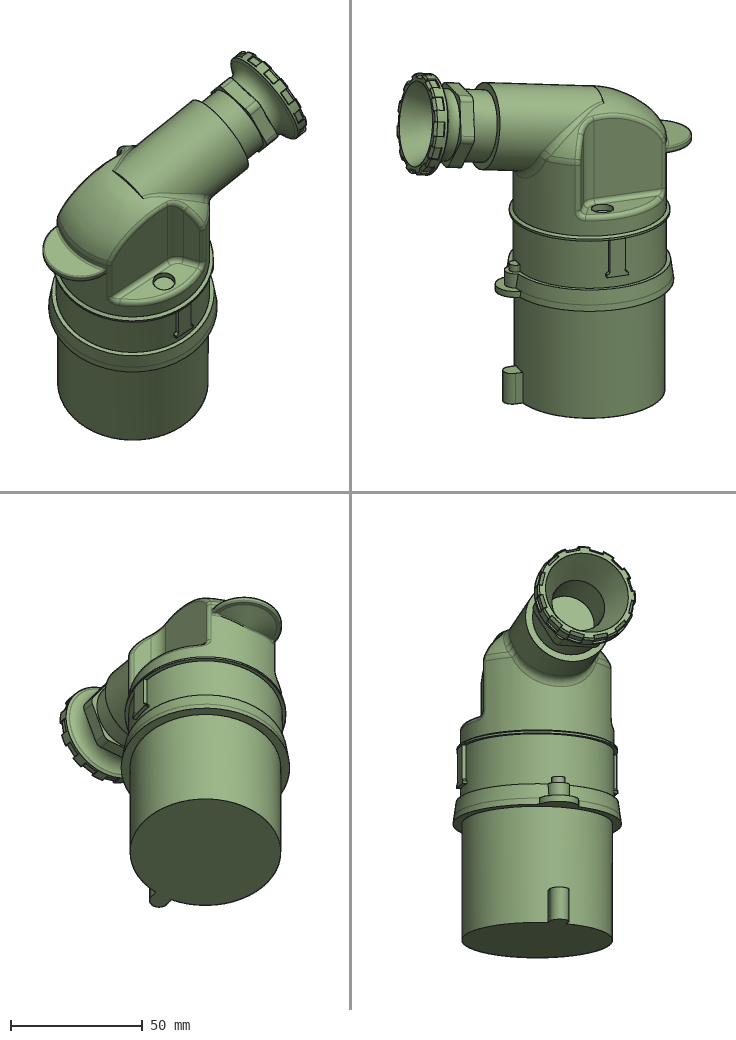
import cadquery as cq
import math

TILT = 10.0
ELBOW_BASE_Z = 106.9
ELBOW_LENGTH = 43.8

LOWER_R = 28.6
BARREL_R = 29.2
FLANGE_BOTTOM_Z = 45.4
FLANGE_EDGE_Z = 47.9
FLANGE_TOP_Z = 53.7
FLANGE_BOTTOM_R = 64.0 / 2
FLANGE_EDGE_R = 31.7
FLANGE_TOP_R = 30.8
RIM_BOTTOM_Z = 73.6
RIM_TOP_Z = 75.1
RIM_R = 30.5
RIM_EDGE_Z = 74.4

DOME_BASE_Z = 103.9
DOME_TOP_Z = 122.5
DOME_SHOULDER_R = 5.3
DOME_SHOULDER_ANGLE = 26.5
DOME_TOP_SLOPE = 0.2
DOME_PROFILE = [(26.7, 109.4), (18.5, 116.6), (11.0, 120.3)]

ELBOW_R = 16.6
ELBOW_FILLET = 3.5

POCKET_FLOOR_Z = 83.3
POCKET_WALL_X = 15.5
POCKET_BACK_Y = 7.6
POCKET_BACK_ANGLE = 30.0
POCKET_CORNER_R = 6.2
POCKET_EDGE_R = 2.0
POCKET_HOLE_R = 4.1
POCKET_HOLE_DEPTH = 2.5
POCKET_HOLE_X = 21.7
POCKET_HOLE_Y = 2.9

TAB_R = 14.2
TAB_Y = -26.1
TAB_BOTTOM_Z = 98.9
TAB_TOP_Z = 101.4
TAB_EDGE_R = 0.5
TAB_CONE_R = 12.5
TAB_CONE_HEIGHT = 3.9
TAB_ROOT_R = 0.8
TAB_CONE_ROOT_R = 0.4

LATCH_WIDTH = 6.2
LATCH_FOOT_WIDTH = 8.6
LATCH_BOTTOM_Z = 58.4
LATCH_FOOT_Z = 59.3
LATCH_NECK_Z = 60.3

FLANGE_KEY_Y = 30.0
KEYS = [
    (7.7, FLANGE_KEY_Y, FLANGE_BOTTOM_Z, FLANGE_EDGE_Z),
    (4.3, FLANGE_KEY_Y, FLANGE_EDGE_Z, FLANGE_TOP_Z),
    (2.5, FLANGE_KEY_Y, FLANGE_TOP_Z, 56.5),
    (3.6, 31.4, 0.0, 12.6),
]
KEY_ROOT_Y = 24.9

NECK_R = 13.8
BORE_R = 10.4
HEX_SIDES = 6
HEX_APOTHEM = 14.5
HEX_CORNER_R = 3.0
HEX_START = 9.8
HEX_END = 15.4
COLLAR_START = 22.0
GLAND_LENGTH = 27.7
COLLAR_R = 19.4
COLLAR_EDGE = 0.7
FLARE_R = 18.3
MOUTH_R = 16.3
NOTCH_COUNT = 12
NOTCH_WIDTH = 5.5
NOTCH_START = 23.8
NOTCH_FLOOR_R = 18.5
NOTCH_LIP = 1.1


def elbow_plane(distance):
    """Plane across the elbow axis; local x is X, local y points along -Z."""
    tilt = math.radians(TILT)
    along = (0, math.cos(tilt), math.sin(tilt))
    origin = (0, distance * along[1], ELBOW_BASE_Z + distance * along[2])
    return cq.Plane(origin=origin, xDir=(1, 0, 0), normal=along)


def barrel():
    """Lower sleeve, flange, rim and domed head turned as one profile."""
    turn = math.radians(DOME_SHOULDER_ANGLE)
    shoulder_radius = BARREL_R - DOME_SHOULDER_R * (1 - math.cos(turn))
    shoulder_z = DOME_BASE_Z + DOME_SHOULDER_R * math.sin(turn)
    shoulder_direction = (-math.sin(turn), math.cos(turn))
    return (
        cq.Workplane("XZ")
        .moveTo(0, 0)
        .lineTo(LOWER_R, 0)
        .lineTo(LOWER_R, FLANGE_BOTTOM_Z)
        .lineTo(FLANGE_BOTTOM_R, FLANGE_BOTTOM_Z)
        .lineTo(FLANGE_EDGE_R, FLANGE_EDGE_Z)
        .lineTo(FLANGE_TOP_R, FLANGE_TOP_Z)
        .lineTo(BARREL_R, FLANGE_TOP_Z)
        .lineTo(BARREL_R, RIM_BOTTOM_Z)
        .lineTo(RIM_R, RIM_BOTTOM_Z)
        .lineTo(RIM_R, RIM_EDGE_Z)
        .lineTo(BARREL_R, RIM_TOP_Z)
        .lineTo(BARREL_R, DOME_BASE_Z)
        .tangentArcPoint((shoulder_radius, shoulder_z), relative=False)
        .spline(
            DOME_PROFILE + [(0, DOME_TOP_Z)],
            tangents=[shoulder_direction, (-1, DOME_TOP_SLOPE)],
            includeCurrent=True,
        )
        .close()
        .revolve(360, (0, 0, 0), (0, 1, 0))
    )


def elbow_tube():
    return cq.Workplane(elbow_plane(0)).circle(ELBOW_R).extrude(ELBOW_LENGTH)


def fillet_elbow_joint(body):
    """Blend the seam where the elbow leaves the barrel, all but its tip on top of the dome."""
    seam = cq.selectors.BoxSelector((-ELBOW_R, 0, ELBOW_BASE_Z - ELBOW_R), (ELBOW_R, BARREL_R, DOME_TOP_Z))
    return body.edges(seam).fillet(ELBOW_FILLET)


def pocket_cutter(side):
    reach = 2 * BARREL_R
    back_rise = (reach - POCKET_WALL_X) * math.tan(math.radians(POCKET_BACK_ANGLE))
    cutter = (
        cq.Workplane("XY", origin=(0, 0, POCKET_FLOOR_Z))
        .moveTo(side * POCKET_WALL_X, -reach)
        .lineTo(side * POCKET_WALL_X, POCKET_BACK_Y)
        .lineTo(side * reach, POCKET_BACK_Y + back_rise)
        .lineTo(side * reach, -reach)
        .close()
        .extrude(DOME_TOP_Z - POCKET_FLOOR_Z)
    )
    corner = cq.selectors.NearestToPointSelector(
        (side * POCKET_WALL_X, POCKET_BACK_Y, (POCKET_FLOOR_Z + DOME_TOP_Z) / 2)
    )
    return cutter.edges(corner).fillet(POCKET_CORNER_R).faces("<Z").edges().fillet(POCKET_EDGE_R)


def round_pocket_mouth(body, side):
    """Round the mouth; its edges run smoothly into each other, so the upright front one leads to all."""
    front_y = -math.sqrt(BARREL_R**2 - POCKET_WALL_X**2)
    front_edge = cq.selectors.NearestToPointSelector(
        (side * POCKET_WALL_X, front_y, (POCKET_FLOOR_Z + DOME_BASE_Z) / 2)
    )
    return body.edges(front_edge).fillet(POCKET_EDGE_R)


def pocket_hole(side):
    return (
        cq.Workplane("XY", origin=(side * POCKET_HOLE_X, -side * POCKET_HOLE_Y, POCKET_FLOOR_Z))
        .circle(POCKET_HOLE_R)
        .extrude(-POCKET_HOLE_DEPTH)
    )


def thumb_tab():
    disc = (
        cq.Workplane("XY", origin=(0, TAB_Y, TAB_BOTTOM_Z))
        .circle(TAB_R)
        .extrude(TAB_TOP_Z - TAB_BOTTOM_Z)
        .edges()
        .fillet(TAB_EDGE_R)
    )
    cone = cq.Solid.makeCone(
        TAB_CONE_R, 0, TAB_CONE_HEIGHT, pnt=cq.Vector(0, TAB_Y, TAB_BOTTOM_Z), dir=cq.Vector(0, 0, -1)
    )
    return disc.union(cq.Workplane(cone))


def fillet_tab_root(body):
    """Blend the top of the tab and its cone into the barrel."""
    top = cq.selectors.NearestToPointSelector((0, -BARREL_R, TAB_TOP_Z))
    under = cq.selectors.NearestToPointSelector((0, -BARREL_R, TAB_BOTTOM_Z - TAB_CONE_HEIGHT))
    return body.edges(top).fillet(TAB_ROOT_R).edges(under).fillet(TAB_CONE_ROOT_R)


def latches():
    half = LATCH_WIDTH / 2
    foot = LATCH_FOOT_WIDTH / 2
    outline = [
        (-half, RIM_BOTTOM_Z),
        (-half, LATCH_NECK_Z),
        (-foot, LATCH_FOOT_Z),
        (-foot, LATCH_BOTTOM_Z),
        (foot, LATCH_BOTTOM_Z),
        (foot, LATCH_FOOT_Z),
        (half, LATCH_NECK_Z),
        (half, RIM_BOTTOM_Z),
    ]
    return cq.Workplane("YZ").polyline(outline).close().extrude(RIM_R, both=True)


def rounded_key(radius, center_y, bottom, top):
    return (
        cq.Workplane("XY", origin=(0, 0, bottom))
        .moveTo(-radius, KEY_ROOT_Y)
        .lineTo(-radius, center_y)
        .threePointArc((0, center_y + radius), (radius, center_y))
        .lineTo(radius, KEY_ROOT_Y)
        .close()
        .extrude(top - bottom)
    )


def make_housing():
    body = fillet_elbow_joint(barrel().union(elbow_tube()))
    for side in (-1, 1):
        body = round_pocket_mouth(body.cut(pocket_cutter(side)), side).cut(pocket_hole(side))
    body = fillet_tab_root(body.union(thumb_tab()).union(latches()))
    for key in KEYS:
        body = body.union(rounded_key(*key))
    return body


def gland_blank():
    """Neck, flare and collar turned about local Z, with a through bore."""
    flare_depth = FLARE_R - NECK_R
    flare_mid = math.sqrt(0.5)
    flare_length = COLLAR_START - HEX_END
    return (
        cq.Workplane("XZ")
        .moveTo(BORE_R, 0)
        .lineTo(NECK_R, 0)
        .lineTo(NECK_R, HEX_END)
        .threePointArc(
            (FLARE_R - flare_depth * flare_mid, HEX_END + flare_length * flare_mid),
            (FLARE_R, COLLAR_START),
        )
        .lineTo(COLLAR_R, COLLAR_START + COLLAR_EDGE)
        .lineTo(COLLAR_R, GLAND_LENGTH - COLLAR_EDGE)
        .lineTo(COLLAR_R - COLLAR_EDGE, GLAND_LENGTH)
        .lineTo(MOUTH_R, GLAND_LENGTH)
        .lineTo(BORE_R, HEX_END)
        .close()
        .revolve(360, (0, 0, 0), (0, 1, 0))
    )


def hexagon():
    """Wrench hexagon with a flat facing up and a corner at each side."""
    hex_body = (
        cq.Workplane("XY", origin=(0, 0, HEX_START))
        .polygon(HEX_SIDES, 2 * HEX_APOTHEM, circumscribed=True)
        .extrude(HEX_END - HEX_START)
        .edges("|Z")
        .fillet(HEX_CORNER_R)
        .rotate((0, 0, 0), (0, 0, 1), 180 / HEX_SIDES)
    )
    return hex_body.cut(cq.Workplane("XY").circle(BORE_R).extrude(GLAND_LENGTH))


def collar_notch():
    """Cutter for one grip notch on local +X, its floor dropping away in a lip at the open end."""
    return (
        cq.Workplane("XZ")
        .moveTo(NOTCH_FLOOR_R, NOTCH_START)
        .lineTo(NOTCH_FLOOR_R, GLAND_LENGTH - NOTCH_LIP)
        .lineTo(NOTCH_FLOOR_R - NOTCH_LIP, GLAND_LENGTH)
        .lineTo(NOTCH_FLOOR_R + COLLAR_R, GLAND_LENGTH)
        .lineTo(NOTCH_FLOOR_R + COLLAR_R, NOTCH_START)
        .close()
        .extrude(NOTCH_WIDTH / 2, both=True)
    )


def make_gland():
    body = gland_blank().union(hexagon())
    step = 360 / NOTCH_COUNT
    for index in range(NOTCH_COUNT):
        body = body.cut(collar_notch().rotate((0, 0, 0), (0, 0, 1), (index + 0.5) * step))
    return cq.Workplane(body.val().moved(cq.Location(elbow_plane(ELBOW_LENGTH))))


housing = make_housing()
gland = make_gland()
result = cq.Compound.makeCompound([housing.val(), gland.val()])